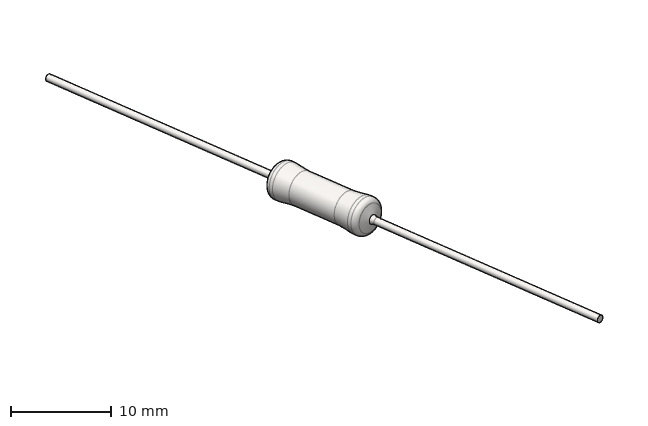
import cadquery as cq
import math

overall_length = 73.9
lead_radius = 0.8 / 2
collar_radius = 0.5
waist_radius = 3.8 / 2
cap_radius = 4.2 / 2

waist_half_length = 3.0
cap_inner_end = 5.0
cap_outer_end = 5.5
collar_end = 7.0

shoulder_radius = 0.7
end_face_tilt = math.radians(18)


def shoulder_point(angle):
    """Point on the shoulder arc: 90 degrees touches the cap, smaller angles run toward the lead."""
    return (
        cap_outer_end + shoulder_radius * math.cos(angle),
        cap_radius - shoulder_radius + shoulder_radius * math.sin(angle),
    )


def cap_with_lead():
    """The +X end: flared cap, conical end face, concave collar and lead as one revolve."""
    shoulder_middle = shoulder_point((math.pi / 2 + end_face_tilt) / 2)
    shoulder_end = shoulder_point(end_face_tilt)
    end_face_height = shoulder_end[1] - collar_radius
    end_face_tip = shoulder_end[0] + end_face_height * math.tan(end_face_tilt)

    toward_body = (-1, 0)
    along_axis = (1, 0)
    profile = (
        cq.Workplane("XY")
        .moveTo(overall_length / 2, 0)
        .lineTo(overall_length / 2, lead_radius)
        .lineTo(collar_end, lead_radius)
        .tangentArcPoint((end_face_tip, collar_radius), relative=False)
        .lineTo(*shoulder_end)
        .threePointArc(shoulder_middle, (cap_outer_end, cap_radius))
        .lineTo(cap_inner_end, cap_radius)
        .spline(
            [(waist_half_length, waist_radius)],
            tangents=[toward_body, toward_body],
            includeCurrent=True,
        )
        .lineTo(waist_half_length, 0)
        .close()
    )
    return profile.revolve(360, (0, 0, 0), along_axis)


right_end = cap_with_lead()
left_end = right_end.mirror("YZ")
waist = (
    cq.Workplane("YZ", origin=(-waist_half_length, 0, 0))
    .circle(waist_radius)
    .extrude(2 * waist_half_length)
)
result = waist.union(right_end).union(left_end)